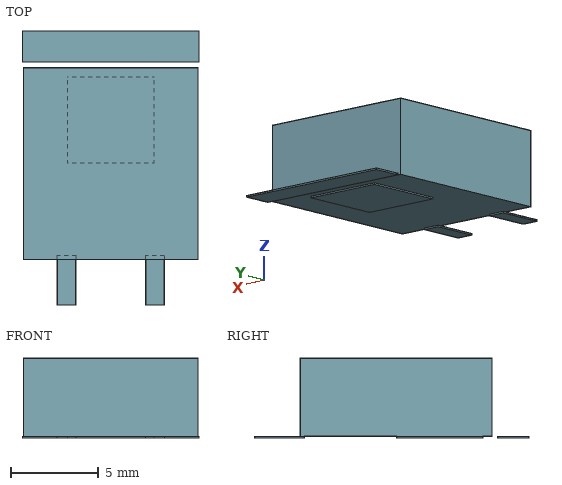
import cadquery as cq

overall_width = 10.15
overall_length = 15.74
overall_height = 4.6

metal_thickness = 0.1

package_width = 10.03
package_length = 11.02
package_front = 2.61
package_height = overall_height - metal_thickness

strip_length = 1.8

pad_length = 4.95
pad_width = pad_length
pad_front = 8.15

lead_width = 1.07
lead_length = 2.85
lead_pitch = 5.08


def block(width, length, height, center_x, front, bottom):
    """Box centred on center_x, starting at the given front (low Y) and bottom (low Z)."""
    return (
        cq.Workplane("XY", origin=(center_x, front, bottom))
        .box(width, length, height, centered=(True, False, False))
    )


def make_package():
    return block(package_width, package_length, package_height, 0, package_front, metal_thickness)


def make_strip():
    return block(overall_width, strip_length, metal_thickness, 0, overall_length - strip_length, 0)


def make_pad():
    return block(pad_width, pad_length, metal_thickness, 0, pad_front, 0)


def make_lead(center_x):
    return block(lead_width, lead_length, metal_thickness, center_x, 0, 0)


package = make_package()
strip = make_strip()
pad = make_pad()
leads = [make_lead(side * lead_pitch / 2) for side in (-1, 1)]

result = cq.Compound.makeCompound(
    [package.val(), strip.val(), pad.val(), *[lead.val() for lead in leads]]
)